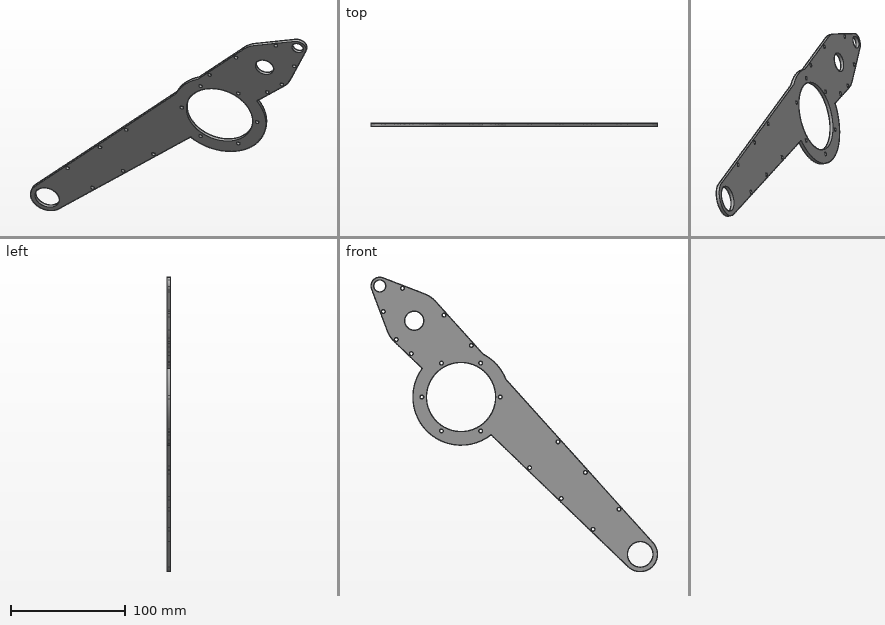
import cadquery as cq
import math

thickness = 3.0

ring_radius = 42.0
ring_bore_radius = 30.0
bolt_circle_radius = 34.0
bolt_count = 6

tip_center = (-70.8, 96.7)
tip_radius = 7.7
tip_bore_radius = 5.1
shoulder_center = (-40.8, 66.5)
shoulder_radius = 25.1
shoulder_bore_radius = 8.2
end_center = (156.0, -137.0)
end_radius = 15.1
end_bore_radius = 11.0

small_hole_radius = 1.5
head_holes = [
    (-51.0, 94.7), (-15.0, 71.3), (9.0, 45.0),
    (-67.7, 74.5), (-56.5, 50.0), (-43.4, 37.7),
]
arm_holes = [
    (84.5, -39.0), (108.3, -65.7), (137.5, -97.7),
    (59.8, -61.5), (87.2, -88.2), (115.0, -115.2),
]


def plane():
    """XZ plane placed so that extrusion toward -Y is centred on Y = 0."""
    return cq.Workplane("XZ", origin=(0, thickness / 2, 0))


def discs(centers, radius):
    return plane().pushPoints(centers).circle(radius).extrude(thickness)


def point_on_circle(center, radius, angle):
    return (center[0] + radius * math.cos(angle), center[1] + radius * math.sin(angle))


def tapered_link(center_a, radius_a, center_b, radius_b):
    """Plate bounded by two circles and their outer tangent lines."""
    dx = center_b[0] - center_a[0]
    dz = center_b[1] - center_a[1]
    axis_angle = math.atan2(dz, dx)
    tangent_angle = math.acos((radius_a - radius_b) / math.hypot(dx, dz))
    left = axis_angle + tangent_angle
    right = axis_angle - tangent_angle
    return (
        plane()
        .moveTo(*point_on_circle(center_a, radius_a, right))
        .lineTo(*point_on_circle(center_b, radius_b, right))
        .threePointArc(
            point_on_circle(center_b, radius_b, axis_angle),
            point_on_circle(center_b, radius_b, left),
        )
        .lineTo(*point_on_circle(center_a, radius_a, left))
        .threePointArc(
            point_on_circle(center_a, radius_a, axis_angle + math.pi),
            point_on_circle(center_a, radius_a, right),
        )
        .close()
        .extrude(thickness)
    )


head = tapered_link(shoulder_center, shoulder_radius, tip_center, tip_radius)
arm = tapered_link(shoulder_center, shoulder_radius, end_center, end_radius)
ring = discs([(0, 0)], ring_radius)
plate = arm.union(head).union(ring)

plate = plate.cut(discs([(0, 0)], ring_bore_radius))
plate = plate.cut(discs([tip_center], tip_bore_radius))
plate = plate.cut(discs([shoulder_center], shoulder_bore_radius))
plate = plate.cut(discs([end_center], end_bore_radius))

bolt_holes = [
    point_on_circle((0, 0), bolt_circle_radius, 2 * math.pi * i / bolt_count)
    for i in range(bolt_count)
]
result = plate.cut(discs(bolt_holes + head_holes + arm_holes, small_hole_radius))